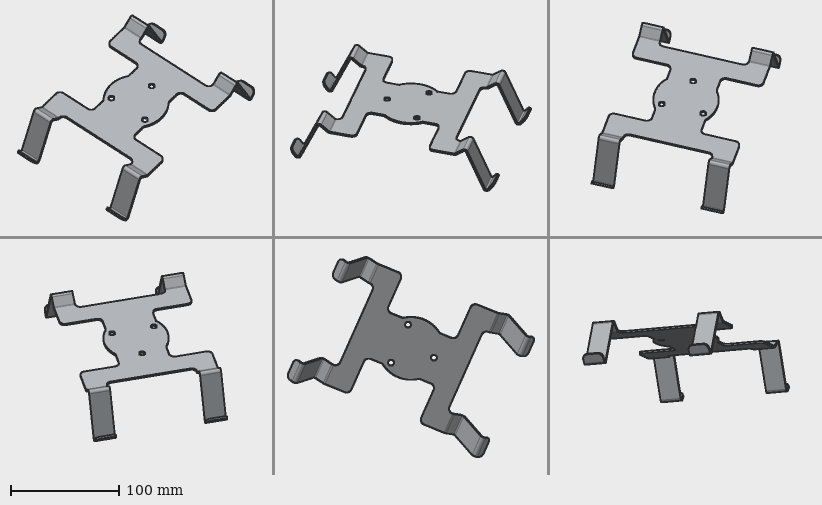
import cadquery as cq
import math

length = 197.0
width = 126.0
thickness = 2.0
bend_inner_radius = 1.0
bend_outer_radius = bend_inner_radius + thickness

arm_width = 20.0
crossbar_inner_y = 35.0
crossbar_outer_y = 55.0
neck_width = 48.0
disc_radius = 30.3
corner_radius = 5.0

hole_count = 3
hole_diameter = 5.5
hole_circle_radius = 23.0
first_hole_angle = 90

ramp_start_y = 60.7
peak_y = 70.9
peak_z = 8.0
valley_y = 90.4
valley_z = -37.0
lip_angle = math.radians(52)
lip_end_y = length / 2 - thickness / 2 * math.sin(lip_angle)
lip_end_z = valley_z + (lip_end_y - valley_y) * math.tan(lip_angle)
midline = [
    (0, 0),
    (ramp_start_y, 0),
    (peak_y, peak_z),
    (valley_y, valley_z),
    (lip_end_y, lip_end_z),
]


def offset_corners(distance):
    """Mitred corners of a line parallel to the mid-line, shifted towards its upper side."""
    headings = [math.atan2(z1 - z0, y1 - y0) for (y0, z0), (y1, z1) in zip(midline, midline[1:])]
    incoming = headings[:1] + headings
    outgoing = headings + headings[-1:]
    corners = []
    for (y, z), before, after in zip(midline, incoming, outgoing):
        heading = (before + after) / 2
        miter = distance / math.cos((after - before) / 2)
        corners.append((y - miter * math.sin(heading), z + miter * math.cos(heading)))
    return corners


def round_bends(sheet, corners, radius):
    """Round the bend edges that run along X through the given (y, z) corners."""
    for y, z in corners:
        edge = cq.selectors.NearestToPointSelector((width / 2, y, z))
        sheet = sheet.edges("|X").edges(edge).fillet(radius)
    return sheet


def make_bent_half():
    """The +Y half of the bent sheet, at full width, with the lip's outer corners still square."""
    upper = offset_corners(thickness / 2)
    lower = offset_corners(-thickness / 2)
    sheet = cq.Workplane("YZ").polyline(upper + lower[::-1]).close().extrude(width / 2, both=True)
    _, upper_ramp, upper_peak, upper_valley, _ = upper
    _, lower_ramp, lower_peak, lower_valley, _ = lower
    sheet = round_bends(sheet, [upper_ramp, lower_peak, upper_valley], bend_inner_radius)
    return round_bends(sheet, [lower_ramp, upper_peak, lower_valley], bend_outer_radius)


def cutter(size_x, size_y, center_x=0, center_y=0):
    """Upright block, taller than the part."""
    return cq.Workplane().box(size_x, size_y, length).translate((center_x, center_y, 0))


def make_outline():
    """Upright block with the plan shape of the part."""
    outline = cutter(width, length)
    gap_depth = length / 2 - crossbar_outer_y
    gap_y = crossbar_outer_y + gap_depth / 2
    for side in (-1, 1):
        outline = outline.cut(cutter(width - 2 * arm_width, gap_depth, 0, side * gap_y))
    notch_depth = (width - neck_width) / 2
    notch_x = (width - notch_depth) / 2
    for side in (-1, 1):
        outline = outline.cut(cutter(notch_depth, 2 * crossbar_inner_y, side * notch_x))
    corners = outline.edges("|Z").edges(
        cq.selectors.BoxSelector(
            (-width, -crossbar_outer_y - thickness, -length),
            (width, crossbar_outer_y + thickness, length),
        )
    )
    outline = corners.fillet(corner_radius)
    return outline.union(cq.Workplane().circle(disc_radius).extrude(length / 2, both=True))


def round_lips(body):
    """Round the corners at the free end of each arm, square to the lip."""
    for side in (-1, 1):
        lip_end = cq.selectors.BoxSelector(
            (-width, side * (lip_end_y - thickness), lip_end_z - thickness),
            (width, side * (lip_end_y + thickness), lip_end_z + thickness),
        )
        body = body.edges(lip_end).edges("not |X").fillet(corner_radius)
    return body


half = make_bent_half()
body = half.union(half.mirror("XZ"))
body = body.intersect(make_outline())
body = round_lips(body)
holes = (
    cq.Workplane()
    .polarArray(hole_circle_radius, first_hole_angle, 360, hole_count)
    .circle(hole_diameter / 2)
    .extrude(thickness, both=True)
)
result = body.cut(holes)